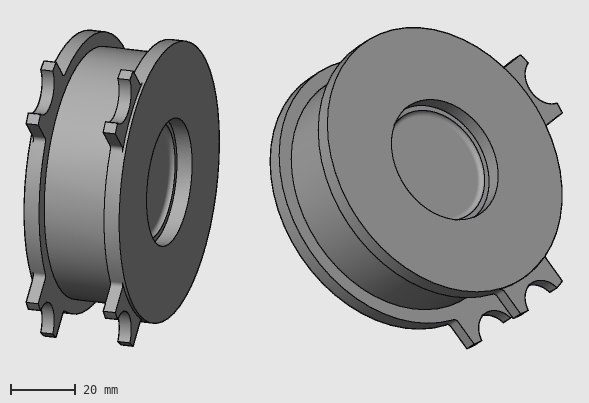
import cadquery as cq
import math

total_width = 31.5
flange_diameter = 88.0
flange_thickness = 5.0
drum_diameter = 79.0

bore_diameter = 40.0
bore_depth = 5.0
recess_diameter = 36.7
recess_fillet = 1.5
recess_depth = 1.5

lug_inset = 1.0
lug_thickness = flange_thickness - lug_inset
lug_width = 22.2
lug_tip_radius = 53.4
lug_root_fillet = 1.5
notch_diameter = 15.7
notch_center_radius = 54.6
lug_angles = (135, 225)

flange_radius = flange_diameter / 2
half_width = total_width / 2


def cylinder(start_x, length, diameter):
    """Solid cylinder about the X axis, running toward +X from start_x."""
    return cq.Workplane("YZ", origin=(start_x, 0, 0)).circle(diameter / 2).extrude(length)


def spool():
    drum = cylinder(-half_width, total_width, drum_diameter)
    left_flange = cylinder(-half_width, flange_thickness, flange_diameter)
    right_flange = cylinder(half_width - flange_thickness, flange_thickness, flange_diameter)
    return drum.union(left_flange).union(right_flange)


def end_recess():
    """Volume removed from the -X end: a bore, then a round-bottomed shallower step."""
    bore = cylinder(-half_width, bore_depth, bore_diameter)
    step = cylinder(-half_width, bore_depth + recess_depth, recess_diameter)
    return bore.union(step.faces(">X").edges().fillet(recess_fillet))


def lug():
    """Lug of the -X flange, pointing along +Y, with a round notch in its tip."""
    half_lug = lug_width / 2
    tip_y = math.sqrt(lug_tip_radius**2 - half_lug**2)

    fillet_z = half_lug + lug_root_fillet
    fillet_y = math.sqrt((flange_radius + lug_root_fillet) ** 2 - fillet_z**2)
    rim_ratio = flange_radius / (flange_radius + lug_root_fillet)
    rim_y = fillet_y * rim_ratio
    rim_z = fillet_z * rim_ratio

    rim_direction = math.atan2(-fillet_z, -fillet_y)
    side_direction = -math.pi / 2
    middle_direction = (rim_direction + side_direction) / 2
    middle_y = fillet_y + lug_root_fillet * math.cos(middle_direction)
    middle_z = fillet_z + lug_root_fillet * math.sin(middle_direction)

    plane = cq.Workplane("YZ", origin=(lug_inset - half_width, 0, 0))
    body = (
        plane.moveTo(rim_y, -rim_z)
        .threePointArc((middle_y, -middle_z), (fillet_y, -half_lug))
        .lineTo(tip_y, -half_lug)
        .threePointArc((lug_tip_radius, 0), (tip_y, half_lug))
        .lineTo(fillet_y, half_lug)
        .threePointArc((middle_y, middle_z), (rim_y, rim_z))
        .close()
        .extrude(lug_thickness)
    )
    notch = plane.center(notch_center_radius, 0).circle(notch_diameter / 2).extrude(lug_thickness)
    return body.cut(notch)


def on_both_ends(solid):
    """The solid together with its mirror image at the +X end."""
    return solid.union(solid.mirror("YZ"))


result = spool().cut(on_both_ends(end_recess()))
for angle in lug_angles:
    result = result.union(on_both_ends(lug()).rotate((0, 0, 0), (1, 0, 0), angle))